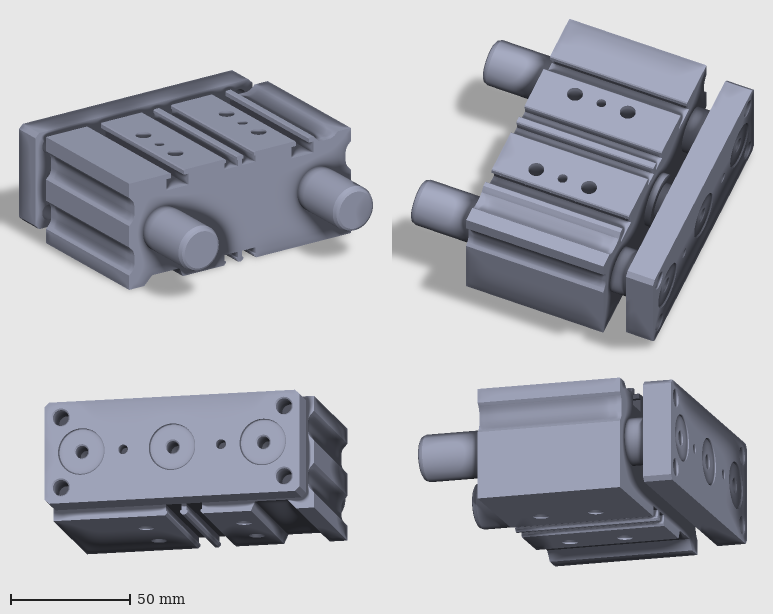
import cadquery as cq
import math


total_length = 113
housing_width = 112.0
housing_height = 48.0

plate_thickness = 12.3
plate_width = 109.6
plate_height = 43.5
plate_chamfer = 1.9
corner_hole_diameter = 6.8
corner_hole_chamfer = 0.6
corner_hole_spacing_y = 95.8
corner_hole_spacing_z = 30.1

housing_start = 22.0
housing_length = 62.3
housing_end = housing_start + housing_length
half_width = housing_width / 2
half_height = housing_height / 2

hole_offset_y = 21.0
hole_row_offset = 33.1
hole_row_center = housing_start + hole_row_offset
mounting_hole_diameter = 6.7
mounting_hole_spacing = 24.0
pin_diameter = 4.1
pin_hole_depth = 6.0
pin_slot_extra = 0.3

rod_diameter = 20.0
rod_offset_y = 39.0
rod_front_recess = 0.6
rod_front_chamfer = 0.6
rod_tip_length = 2.3
rod_tip_face_length = 0.6
rod_tip_shoulder_radius = 9.3
rod_tip_end_radius = 8.2
piston_rod_diameter = 16.0
piston_rod_end = housing_start + housing_length / 2

center_hole_diameter = 5.4
center_hole_chamfer = 0.6
center_hole_depth = 10.2
drill_half_angle = math.radians(60)

collar_diameter = 23.5
collar_thickness = 2.8

t_slot_offset_y = 31.5
t_slot_opening = 6.4
t_slot_inner_width = 11.1
t_slot_chamfer = 0.5
t_slot_lip = 2.3
t_slot_depth = 7.3

sensor_slot_offset_y = 4.4
sensor_slot_opening = 5.5
sensor_slot_inner_width = 6.7
sensor_slot_top_chamfer = 0.5
sensor_slot_bottom_chamfer = 0.9
sensor_slot_lip = 1.7
sensor_slot_undercut = 0.2
sensor_slot_depth = 4.6

side_groove_offset_z = 11.2
side_groove_mouth = 12.8
side_groove_chamfer = 1.4
side_groove_floor = 3.6
side_groove_depth = 2.6

strip_drop = 0.5
relief_outer_y = 49.3
relief_floor_outer_y = 44.6
relief_floor_inner_y = 42.4
relief_slope_y = 39.2
relief_inner_y = 37.3
relief_slope_depth = 2.1
relief_depth = 2.9

bottom_groove_inner_y = -28.8
bottom_groove_outer_y = -48.4
bottom_groove_depth = 4.0
bottom_groove_inner_run = 1.8


def arc_middle(start, tangent_end, floor_direction):
    """Middle point of an arc from start to tangent_end, tangent there to the unit floor_direction."""
    chord_x = start[0] - tangent_end[0]
    chord_y = start[1] - tangent_end[1]
    normal_x, normal_y = -floor_direction[1], floor_direction[0]
    rise = chord_x * normal_x + chord_y * normal_y
    radius = (chord_x**2 + chord_y**2) / (2 * rise)
    center_x = tangent_end[0] + radius * normal_x
    center_y = tangent_end[1] + radius * normal_y
    toward_x = (start[0] + tangent_end[0]) / 2 - center_x
    toward_y = (start[1] + tangent_end[1]) / 2 - center_y
    stretch = abs(radius) / math.hypot(toward_x, toward_y)
    return (center_x + toward_x * stretch, center_y + toward_y * stretch)


def along_x(profile):
    """Extrude a closed YZ profile along the whole housing."""
    return profile.extrude(housing_length)


def housing_plane():
    return cq.Workplane("YZ", origin=(housing_start, 0, 0))


def cylinder_x(diameter, start, end, y=0):
    return cq.Workplane("YZ", origin=(start, y, 0)).circle(diameter / 2).extrude(end - start)


def undercut_slot(center_y, opening, inner_width, chamfer, lip, undercut, depth, side):
    """Slot with overhanging lips, in the top face (side = 1) or the bottom face (side = -1)."""
    half_profile = [
        (opening / 2 + chamfer, 0),
        (opening / 2, chamfer),
        (opening / 2, lip),
        (inner_width / 2, lip + undercut),
        (inner_width / 2, depth),
    ]
    outline = half_profile + [(-y, z) for y, z in reversed(half_profile)]
    points = [(center_y + y, side * (half_height - z)) for y, z in outline]
    return along_x(housing_plane().polyline(points).close())


def t_slots():
    slots = cq.Workplane()
    for side in (-1, 1):
        slots = slots.add(
            undercut_slot(
                side * t_slot_offset_y,
                t_slot_opening,
                t_slot_inner_width,
                t_slot_chamfer,
                t_slot_lip,
                0,
                t_slot_depth,
                1,
            )
        )
    return slots.combine()


def sensor_slots():
    slots = cq.Workplane()
    for face, chamfer in ((1, sensor_slot_top_chamfer), (-1, sensor_slot_bottom_chamfer)):
        for side in (-1, 1):
            slots = slots.add(
                undercut_slot(
                    side * sensor_slot_offset_y,
                    sensor_slot_opening,
                    sensor_slot_inner_width,
                    chamfer,
                    sensor_slot_lip,
                    sensor_slot_undercut,
                    sensor_slot_depth,
                    face,
                )
            )
    return slots.combine()


def side_groove(side, center_z):
    """Groove in a side face: chamfered mouth, two concave arcs and a flat floor."""
    mouth_half = side_groove_mouth / 2
    floor_half = side_groove_floor / 2
    chamfer_y = half_width - side_groove_chamfer
    floor_y = half_width - side_groove_depth
    arc_start = (chamfer_y, mouth_half - side_groove_chamfer)
    arc_end = (floor_y, floor_half)
    middle = arc_middle(arc_start, arc_end, (0, 1))

    def place(point, flip=1):
        return (side * point[0], center_z + flip * point[1])

    profile = (
        housing_plane()
        .moveTo(*place((half_width, mouth_half)))
        .lineTo(*place(arc_start))
        .threePointArc(place(middle), place(arc_end))
        .lineTo(*place(arc_end, -1))
        .threePointArc(place(middle, -1), place(arc_start, -1))
        .lineTo(*place((half_width, mouth_half), -1))
        .close()
    )
    return along_x(profile)


def top_relief():
    """Lowered strip along the +Y edge and the rounded groove next to it."""
    strip_z = half_height - strip_drop
    floor_z = half_height - relief_depth
    outer_start = (relief_outer_y, strip_z)
    floor_outer = (relief_floor_outer_y, floor_z)
    floor_inner = (relief_floor_inner_y, floor_z)
    slope_start = (relief_slope_y, half_height - relief_slope_depth)
    profile = (
        housing_plane()
        .moveTo(half_width, half_height)
        .lineTo(half_width, strip_z)
        .lineTo(*outer_start)
        .threePointArc(arc_middle(outer_start, floor_outer, (1, 0)), floor_outer)
        .lineTo(*floor_inner)
        .threePointArc(arc_middle(slope_start, floor_inner, (1, 0)), slope_start)
        .lineTo(relief_inner_y, half_height)
        .close()
    )
    return along_x(profile)


def bottom_groove():
    floor_z = bottom_groove_depth - half_height
    points = [
        (bottom_groove_inner_y, -half_height),
        (bottom_groove_inner_y - bottom_groove_inner_run, floor_z),
        (bottom_groove_outer_y + bottom_groove_depth, floor_z),
        (bottom_groove_outer_y, -half_height),
    ]
    return along_x(housing_plane().polyline(points).close())


def pin_holes(plane, round_place, long_place, long_angle, depth):
    """Round pin hole and a slightly lengthened one, at their places in the plane."""
    round_hole = plane.center(*round_place).circle(pin_diameter / 2).extrude(depth)
    long_outline = plane.center(*long_place).slot2D(pin_diameter + pin_slot_extra, pin_diameter, long_angle)
    return round_hole.add(long_outline.extrude(depth)).combine()


def make_housing():
    housing = along_x(housing_plane().rect(housing_width, housing_height))
    housing = housing.cut(t_slots()).cut(sensor_slots())
    housing = housing.cut(top_relief()).cut(bottom_groove())
    for side, center_z in (
        (-1, side_groove_offset_z),
        (-1, -side_groove_offset_z),
        (1, side_groove_offset_z),
    ):
        housing = housing.cut(side_groove(side, center_z))

    for side in (-1, 1):
        housing = housing.cut(cylinder_x(rod_diameter, housing_start, housing_end, side * rod_offset_y))
    housing = housing.cut(cylinder_x(piston_rod_diameter, housing_start, piston_rod_end))

    mounting_holes = (
        cq.Workplane("XY", origin=(hole_row_center, 0, -half_height))
        .rect(mounting_hole_spacing, 2 * hole_offset_y, forConstruction=True)
        .vertices()
        .circle(mounting_hole_diameter / 2)
        .extrude(housing_height)
    )
    housing = housing.cut(mounting_holes)

    top = cq.Workplane("XY", origin=(hole_row_center, 0, half_height))
    return housing.cut(pin_holes(top, (0, -hole_offset_y), (0, hole_offset_y), 90, -pin_hole_depth))


def make_plate():
    front = cq.Workplane("YZ")
    plate = front.rect(plate_width, plate_height).extrude(plate_thickness)
    plate = plate.edges("|X").chamfer(plate_chamfer)

    for y in (-rod_offset_y, 0, rod_offset_y):
        plate = plate.cut(cylinder_x(rod_diameter, 0, plate_thickness, y))

    corner_holes = (
        front.rect(corner_hole_spacing_y, corner_hole_spacing_z, forConstruction=True)
        .vertices()
        .circle(corner_hole_diameter / 2)
        .extrude(plate_thickness)
    )
    countersinks = (
        front.rect(corner_hole_spacing_y, corner_hole_spacing_z, forConstruction=True)
        .vertices()
        .circle(corner_hole_diameter / 2 + corner_hole_chamfer)
        .extrude(corner_hole_chamfer, taper=45)
    )
    plate = plate.cut(corner_holes).cut(countersinks)

    return plate.cut(pin_holes(front, (hole_offset_y, 0), (-hole_offset_y, 0), 0, pin_hole_depth))


def revolve_rod(tail_points):
    """Rod about X with a recessed, chamfered front end and a drilled centre hole.

    tail_points are the (x, radius) corners of the rest of the rod.
    """
    hole_radius = center_hole_diameter / 2
    front = rod_front_recess
    hole_end = front + center_hole_depth
    drill_tip = hole_end + hole_radius / math.tan(drill_half_angle)
    points = [
        (drill_tip, 0),
        (hole_end, hole_radius),
        (front + center_hole_chamfer, hole_radius),
        (front, hole_radius + center_hole_chamfer),
        (front, rod_diameter / 2 - rod_front_chamfer),
        (front + rod_front_chamfer, rod_diameter / 2),
    ] + tail_points
    return cq.Workplane("XY").polyline(points).close().revolve(360, (0, 0), (1, 0))


def make_guide_rod(y):
    rod = revolve_rod(
        [
            (total_length - rod_tip_length, rod_diameter / 2),
            (total_length - rod_tip_face_length, rod_tip_shoulder_radius),
            (total_length, rod_tip_end_radius),
            (total_length, 0),
        ]
    )
    return rod.translate((0, y, 0))


def make_piston_rod():
    return revolve_rod(
        [
            (plate_thickness, rod_diameter / 2),
            (plate_thickness, piston_rod_diameter / 2),
            (piston_rod_end, piston_rod_diameter / 2),
            (piston_rod_end, 0),
        ]
    )


def make_collar():
    collar_start = housing_start - collar_thickness
    ring = cylinder_x(collar_diameter, collar_start, housing_start)
    return ring.cut(cylinder_x(piston_rod_diameter, collar_start, housing_start))


housing = make_housing()
plate = make_plate()
guide_rods = [make_guide_rod(side * rod_offset_y) for side in (-1, 1)]
piston_rod = make_piston_rod()
collar = make_collar()

result = cq.Compound.makeCompound(
    [
        housing.val(),
        plate.val(),
        *[rod.val() for rod in guide_rods],
        piston_rod.val(),
        collar.val(),
    ]
)